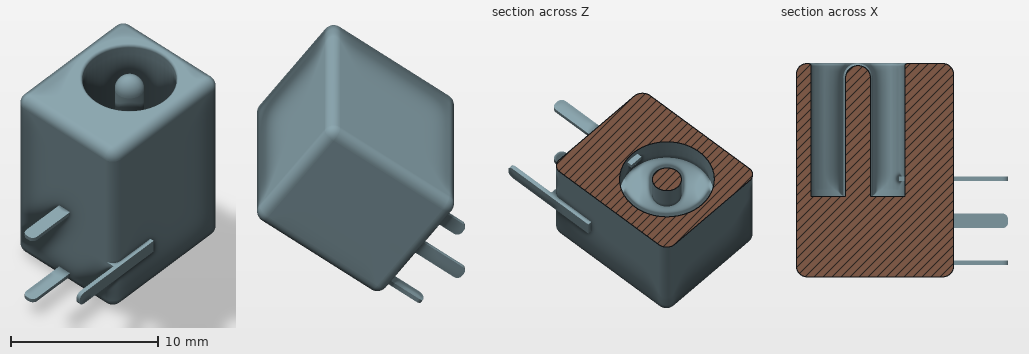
import cadquery as cq

body_width = 9.0
body_depth = 10.7
body_height = 14.5
body_edge_radius = 0.75

bore_diameter = 6.4
bore_depth = 9.0
bore_rim_radius = 0.2
bore_to_back = 4.2
bore_y = body_depth - bore_to_back
bore_floor_z = body_height - bore_depth

contact_diameter = 2.0
contact_top_z = body_height

terminal_width = 1.0
terminal_thickness = 0.3
terminal_reach = 3.7
terminal_corner_radius = 0.4

upper_terminal_z = 6.65
lower_terminal_z = 0.95
side_terminal_z = 3.8


def make_body():
    """Box with every edge rounded."""
    box = cq.Workplane("XY").box(body_width, body_depth, body_height, centered=(True, False, False))
    return box.edges().fillet(body_edge_radius)


def cut_bore(body):
    """Cut the socket bore and round its rim."""
    bore = cq.Workplane("XY").workplane(offset=bore_floor_z).center(0, bore_y)
    bore = bore.circle(bore_diameter / 2).extrude(bore_depth)
    rim = body.cut(bore).faces(">Z").edges("%CIRCLE")
    return rim.fillet(bore_rim_radius)


def make_contact():
    """Cylinder from the bore floor, capped by a hemisphere."""
    radius = contact_diameter / 2
    dome_z = contact_top_z - radius
    shaft = cq.Workplane("XY").workplane(offset=bore_floor_z).center(0, bore_y)
    shaft = shaft.circle(radius).extrude(dome_z - bore_floor_z)
    dome = cq.Workplane("XY").sphere(radius).translate((0, bore_y, dome_z))
    return shaft.union(dome)


def make_terminal():
    """Flat blade along Y, centred on the origin, with the -Y end corners rounded."""
    blade = cq.Workplane("XY").box(terminal_width, 2 * terminal_reach, terminal_thickness)
    return blade.faces("<Y").edges("|Z").fillet(terminal_corner_radius)


def make_side_terminal():
    """Blade on edge against the +X wall, with a web filling the rounded body corner behind it."""
    wall_x = body_width / 2
    blade = make_terminal().rotate((0, 0, 0), (0, 1, 0), 90)
    blade = blade.translate((wall_x + terminal_thickness / 2, 0, side_terminal_z))
    web = cq.Workplane("XY").box(body_edge_radius, body_edge_radius, terminal_width)
    web = web.translate((wall_x - body_edge_radius / 2, body_edge_radius / 2, side_terminal_z))
    return blade.union(web)


result = cut_bore(make_body()).union(make_contact())
for terminal_z in (upper_terminal_z, lower_terminal_z):
    result = result.union(make_terminal().translate((0, 0, terminal_z)))
result = result.union(make_side_terminal())